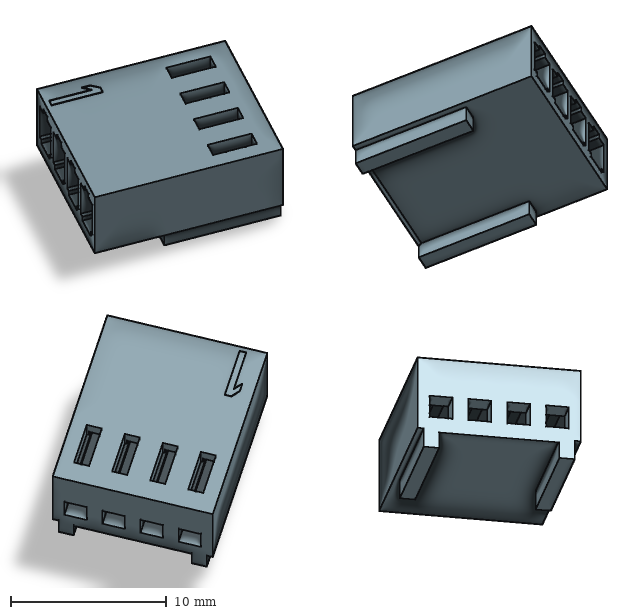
import cadquery as cq

width = 10.7
length = 12.9
overall_height = 6.35

rail_height = 1.3
rail_width = 1.0
rail_length = 7.99
rail_inset = 0.4

mark_height = 0.05
mark_left = 0.9
mark_right = 1.75
mark_front = 0.35
mark_back = 3.86
mark_stem_width = 0.44
mark_flag_tip_top = 3.32
mark_flag_tip_bottom = 2.73
mark_flag_root = 3.26

body_height = overall_height - rail_height - mark_height

contact_count = 4
contact_pitch = 2.54
cavity_width = 2.1
cavity_floor = 1.2
cavity_roof_depth = 1.11
key_width = 0.75
key_roof_depth = 0.75

pin_size = 1.5
pin_floor = 0.85

window_width = 1.0
window_length = 3.0
back_wall = 1.4

ramp_size = 0.2

cavity_length = length - back_wall
contact_positions = [(i - (contact_count - 1) / 2) * contact_pitch for i in range(contact_count)]


def block(x_center, block_width, y_front, y_back, z_bottom, z_top):
    """Box centred on x_center, given by its limits along Y and Z."""
    return cq.Workplane("XY").box(
        block_width, y_back - y_front, z_top - z_bottom, centered=(True, False, False)
    ).translate((x_center, y_front, z_bottom))


def contact_space(x):
    """Everything removed for one contact: cavity, key slot, pin passage and window."""
    cavity = block(x, cavity_width, 0, cavity_length, cavity_floor, body_height - cavity_roof_depth)
    key_slot = block(x, key_width, 0, cavity_length, cavity_floor, body_height - key_roof_depth)
    pin_passage = block(x, pin_size, 0, length, pin_floor, pin_floor + pin_size)
    window = block(x, window_width, cavity_length - window_length, cavity_length, cavity_floor, body_height)
    return cavity.union(key_slot).union(pin_passage).union(window)


def rail(side):
    x = side * (width / 2 - rail_inset - rail_width / 2)
    return block(x, rail_width, length - rail_length, length, -rail_height, 0)


def lock_ramp():
    """Wedge that deepens toward the back of the housing and fills the gap between the rails."""
    ramp_width = width - 2 * (rail_inset + rail_width)
    profile = [(length - ramp_size, 0), (length, -ramp_size), (length, 0)]
    return cq.Workplane("YZ").polyline(profile).close().extrude(ramp_width / 2, both=True)


def pin_one_mark():
    """Raised upright stem with a slanted flag at its back end."""
    stem_left = mark_right - mark_stem_width
    outline = [
        (mark_right, mark_front),
        (mark_right, mark_back),
        (stem_left, mark_back),
        (mark_left, mark_flag_tip_top),
        (mark_left, mark_flag_tip_bottom),
        (stem_left, mark_flag_root),
        (stem_left, mark_front),
    ]
    return (
        cq.Workplane("XY", origin=(-width / 2, 0, body_height))
        .polyline(outline)
        .close()
        .extrude(mark_height)
    )


result = block(0, width, 0, length, 0, body_height)
for side in (-1, 1):
    result = result.union(rail(side))
result = result.union(lock_ramp()).union(pin_one_mark())
for x in contact_positions:
    result = result.cut(contact_space(x))